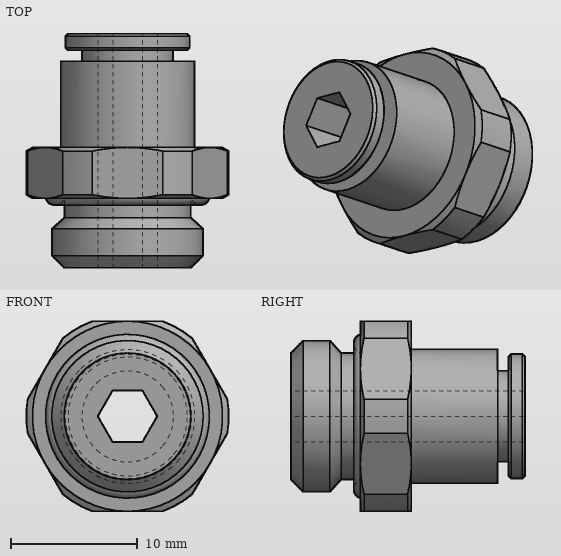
import cadquery as cq
import math

total_length = 18.5
thread_tip_chamfer = 0.98
thread_end = 3.09
groove_start = 3.98
nut_start = 5.5
nut_end = 9.5
body_end = 16.32
collar_start = 17.17

thread_radius = 5.98
groove_radius = thread_radius - thread_tip_chamfer
body_radius = 5.3
neck_radius = 3.6
collar_radius = 4.92
collar_chamfer = 0.22

nut_across_flats = 15.0
nut_corner_radius = 8.001
nut_chamfer_angle = 30.0
socket_across_flats = 4.05

ring_section_radius = 0.74
ring_outer_radius = 6.5
ring_front = 4.95


def revolve_profile(points):
    """Revolve a closed (radius, y) outline about the Y axis."""
    return cq.Workplane("XY").polyline(points).close().revolve(360, (0, 0, 0), (0, 1, 0))


def hexagonal_bar(across_flats, start, end):
    """Hexagonal bar along Y with two corners on the X axis."""
    across_corners = across_flats / math.cos(math.radians(30))
    return (
        cq.Workplane("XZ", origin=(0, start, 0))
        .polygon(6, across_corners)
        .extrude(start - end)
    )


def make_turned_body():
    return revolve_profile([
        (0, 0),
        (thread_radius - thread_tip_chamfer, 0),
        (thread_radius, thread_tip_chamfer),
        (thread_radius, thread_end),
        (groove_radius, groove_start),
        (groove_radius, nut_start),
        (body_radius, nut_start),
        (body_radius, body_end),
        (neck_radius, body_end),
        (neck_radius, collar_start),
        (collar_radius - collar_chamfer, collar_start),
        (collar_radius, collar_start + collar_chamfer),
        (collar_radius, total_length - collar_chamfer),
        (collar_radius - collar_chamfer, total_length),
        (0, total_length),
    ])


def make_nut():
    """Hexagon with rounded corners and a conical chamfer on both faces."""
    face_radius = nut_across_flats / 2
    chamfer_depth = (nut_corner_radius - face_radius) * math.tan(math.radians(nut_chamfer_angle))
    envelope = revolve_profile([
        (0, nut_start),
        (face_radius, nut_start),
        (nut_corner_radius, nut_start + chamfer_depth),
        (nut_corner_radius, nut_end - chamfer_depth),
        (face_radius, nut_end),
        (0, nut_end),
    ])
    return hexagonal_bar(nut_across_flats, nut_start, nut_end).intersect(envelope)


def make_sealing_ring():
    return (
        cq.Workplane("XY")
        .center(ring_outer_radius - ring_section_radius, ring_front + ring_section_radius)
        .circle(ring_section_radius)
        .revolve(360, (ring_section_radius - ring_outer_radius, 0, 0),
                 (ring_section_radius - ring_outer_radius, 1, 0))
    )


socket = hexagonal_bar(socket_across_flats, 0, total_length)

result = make_turned_body().union(make_nut()).union(make_sealing_ring()).cut(socket)